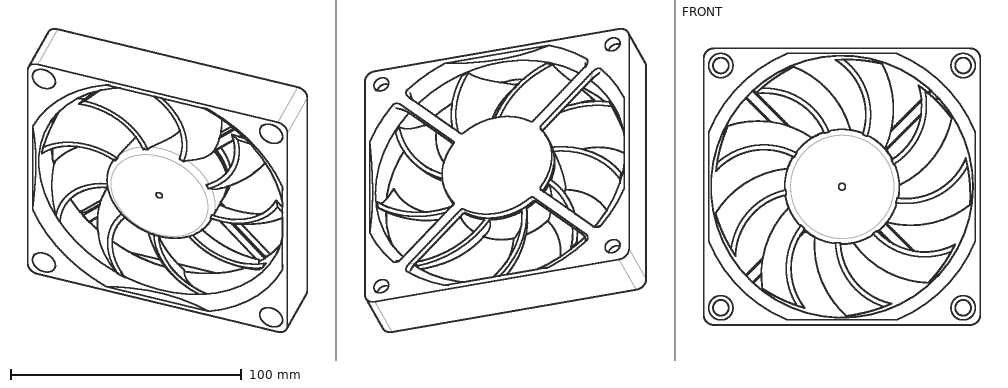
import cadquery as cq
import math

SIDE = 120.0
DEPTH = 25.0
CORNER_RADIUS = 4.5
FRONT = -DEPTH / 2
BACK = DEPTH / 2

DUCT_RADIUS = 56.8
MOUTH_RADIUS = 62.4
MOUTH_DEPTH = 5.0
MOUTH_WALL = 2.3

HOLE_SPACING = 105.0
HOLE_DIAMETER = 6.7
COUNTERBORE_DIAMETER = 10.5
HOLE_FLANGE = 5.0

MOUNT_RADIUS = 25.0
STRUT_WIDTH = 4.8
STRUT_DEPTH = 4.0
STRUT_COUNT = 4
FIRST_STRUT_ANGLE = 45
STRUT_FRONT = BACK - STRUT_DEPTH
STRUT_REACH = MOUTH_RADIUS + 1.2
MOUNT_FILLET = 1.0
WALL_FILLET = 2.0
RIM_CHAMFER = 0.5
SHAFT_RADIUS = 1.5
TOLERANCE = 0.01

HUB_RADIUS = 24.8
HUB_INSET = 2.0
HUB_LENGTH = 18.0
HUB_FILLET = 2.4
HUB_FRONT = FRONT + HUB_INSET
HUB_BACK = HUB_FRONT + HUB_LENGTH

BLADE_COUNT = 9
BLADE_FRONT_TIP_RADIUS = 55.1
BLADE_BACK_TIP_RADIUS = 56.0
BLADE_THICKNESS = 2.2
BLADE_INSET = 3.0
BLADE_FRONT = FRONT + BLADE_INSET
BLADE_FRONT_RADIUS = 30.1
BLADE_BACK_RADIUS = 41.4
BLADE_BULGE = 1.8
BLADE_FRONT_CENTER = 35.9
BLADE_BACK_CENTER = 38.6
FIRST_BLADE_ANGLE = 199.5


def face_plane(y):
    """Workplane at position y along the fan axis, with X to the right and Z up."""
    return cq.Workplane("XZ", origin=(0, y, 0))


def disc(radius, y_start, y_end):
    return face_plane(y_start).circle(radius).extrude(y_start - y_end)


def turned(body, angle):
    """The body turned counterclockwise by angle about the fan axis, as seen from -Y."""
    return body.rotate((0, 0, 0), (0, -1, 0), angle)


def flared_mouth(y_face, depth):
    """Cone from the mouth circle at y_face to the duct, flattened by a square; depth is along +Y."""
    flat_side = SIDE - 2 * MOUTH_WALL
    cone = (
        face_plane(y_face).circle(MOUTH_RADIUS)
        .workplane(offset=-depth).circle(DUCT_RADIUS).loft(ruled=True)
    )
    return cone.intersect(cq.Workplane().box(flat_side, 2 * DEPTH, flat_side))


def make_housing():
    plate = cq.Workplane().box(SIDE, DEPTH, SIDE).edges("|Y").fillet(CORNER_RADIUS)
    plate = plate.cut(disc(DUCT_RADIUS, FRONT, BACK))
    plate = plate.cut(flared_mouth(FRONT, MOUTH_DEPTH)).cut(flared_mouth(BACK, -MOUTH_DEPTH))
    return cut_screw_holes(plate)


def cut_screw_holes(plate):
    for diameter, y_end in ((HOLE_DIAMETER, BACK), (COUNTERBORE_DIAMETER, BACK - HOLE_FLANGE)):
        holes = (
            face_plane(FRONT).rect(HOLE_SPACING, HOLE_SPACING, forConstruction=True)
            .vertices().circle(diameter / 2).extrude(FRONT - y_end)
        )
        plate = plate.cut(holes)
    return plate


def make_spider():
    """Motor mount with its struts, which reach into the wall of the back mouth."""
    spider = disc(MOUNT_RADIUS, STRUT_FRONT, BACK)
    for i in range(STRUT_COUNT):
        strut = (
            cq.Workplane().box(STRUT_REACH, STRUT_DEPTH, STRUT_WIDTH, centered=(False, False, True))
            .translate((0, STRUT_FRONT, 0))
        )
        spider = spider.union(turned(strut, FIRST_STRUT_ANGLE + 360 / STRUT_COUNT * i))
    return spider


def at_mount(edge):
    """Whether the edge is an upright corner between the mount and a strut."""
    return upright_in_strut(edge) and radius_of(edge.startPoint()) < MOUNT_RADIUS + STRUT_WIDTH


def at_wall(edge):
    """Whether the edge is an upright corner between a strut and the wall of the back mouth."""
    return upright_in_strut(edge) and DUCT_RADIUS < radius_of(edge.startPoint()) < STRUT_REACH


def upright_in_strut(edge):
    """Whether the edge runs along the fan axis for most of the depth of a strut."""
    ends = edge.startPoint().y, edge.endPoint().y
    return min(ends) > STRUT_FRONT - TOLERANCE and max(ends) - min(ends) > STRUT_DEPTH / 2


def radius_of(point):
    return math.hypot(point.x, point.z)


def make_frame():
    """Housing, motor mount, struts and shaft in one piece."""
    spider = make_spider().edges().filter(at_mount).fillet(MOUNT_FILLET)
    spider = spider.faces("<Y").edges().chamfer(RIM_CHAMFER)
    frame = make_housing().union(spider).edges().filter(at_wall).fillet(WALL_FILLET)
    return frame.union(disc(SHAFT_RADIUS, HUB_FRONT, BACK))


def blade_section_loft(inward):
    """Round body through the front, middle and back circles of a blade, each smaller by inward."""
    mid_radius = (BLADE_FRONT_RADIUS + BLADE_BACK_RADIUS) / 2 + BLADE_BULGE
    mid_center = (BLADE_FRONT_CENTER + BLADE_BACK_CENTER) / 2
    half = (HUB_BACK - BLADE_FRONT) / 2
    return (
        face_plane(BLADE_FRONT)
        .center(BLADE_FRONT_CENTER, 0).circle(BLADE_FRONT_RADIUS - inward)
        .workplane(offset=-half)
        .center(mid_center - BLADE_FRONT_CENTER, 0).circle(mid_radius - inward)
        .workplane(offset=-half)
        .center(BLADE_BACK_CENTER - mid_center, 0).circle(BLADE_BACK_RADIUS - inward)
        .loft()
    )


def make_blade():
    """One blade, cut from a round shell between the hub and a slightly conical tip surface."""
    shell = blade_section_loft(0).cut(blade_section_loft(BLADE_THICKNESS))
    lower_half = (
        cq.Workplane().box(SIDE, SIDE, SIDE, centered=(False, True, False))
        .translate((0, 0, -SIDE))
    )
    tip_cone = (
        face_plane(BLADE_FRONT).circle(BLADE_FRONT_TIP_RADIUS)
        .workplane(offset=BLADE_FRONT - HUB_BACK).circle(BLADE_BACK_TIP_RADIUS).loft(ruled=True)
    )
    ring = tip_cone.cut(disc(HUB_RADIUS - HUB_FILLET, FRONT, BACK))
    return shell.intersect(ring).intersect(lower_half)


def make_rotor():
    """Hub with its blades, bored for the shaft."""
    rotor = disc(HUB_RADIUS, HUB_FRONT, HUB_BACK).faces("<Y").edges().fillet(HUB_FILLET)
    blade = make_blade()
    for i in range(BLADE_COUNT):
        rotor = rotor.union(turned(blade, FIRST_BLADE_ANGLE + 360 / BLADE_COUNT * i))
    return rotor.cut(disc(SHAFT_RADIUS, HUB_FRONT, HUB_BACK))


frame = make_frame()
rotor = make_rotor()
result = cq.Compound.makeCompound([frame.val(), rotor.val()])